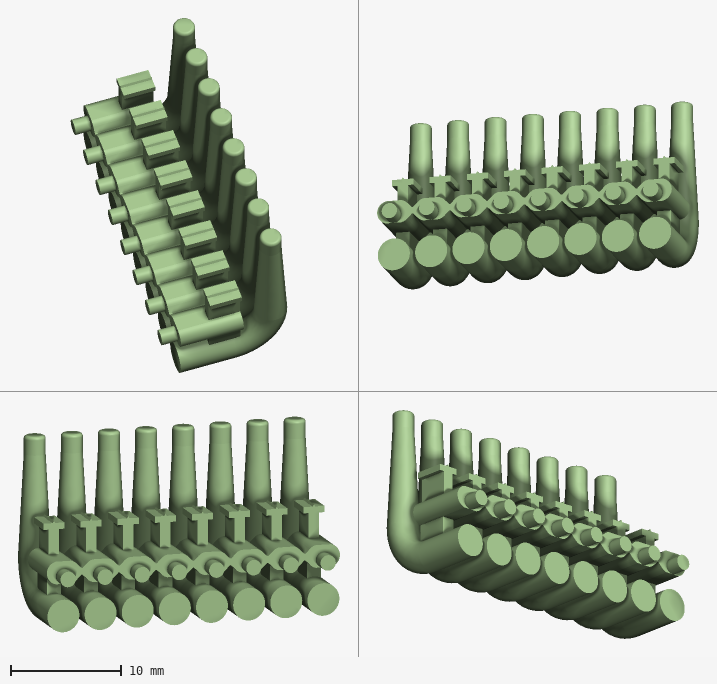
import cadquery as cq
import math


ROW_LENGTH = 27.62
CONTACT_COUNT = 8
LOBE_WIDTH = 3.12
PITCH = (ROW_LENGTH - LOBE_WIDTH) / (CONTACT_COUNT - 1)
CONTACT_POSITIONS = [(i - (CONTACT_COUNT - 1) / 2) * PITCH for i in range(CONTACT_COUNT)]

PIN_RADIUS = 3.0 / 2
PIN_LENGTH = 5.33
BEND_RADIUS = 3.73
POST_TOP = 16.35
TIP_RADIUS = 1.0
TIP_LENGTH = 1.7
TIP_ROUNDING = 0.3
POST_Y = PIN_LENGTH + BEND_RADIUS
POST_BASE = PIN_RADIUS + BEND_RADIUS

BAR_DEPTH = 6.0
BAR_HEIGHT = 2.1
BAR_CENTRE_Z = 5.52
LOBE_FLAT_WIDTH = 1.4
NECK_FLAT_WIDTH = 0.1
FLANK_ANGLE = math.radians(45)
BAR_TOP = BAR_CENTRE_Z + BAR_HEIGHT / 2
BAR_BOTTOM = BAR_CENTRE_Z - BAR_HEIGHT / 2
LOBE_SIDE = (LOBE_WIDTH - LOBE_FLAT_WIDTH) / 2
LOBE_RADIUS = (LOBE_SIDE**2 + (BAR_HEIGHT / 2) ** 2) / (2 * LOBE_SIDE)
LOBE_ARC_CENTRE = LOBE_WIDTH / 2 - LOBE_RADIUS

STUB_RADIUS = 0.72
STUB_LENGTH = 1.5
STUB_CENTRE_Z = BAR_BOTTOM + STUB_RADIUS

KEY_DEPTH = 3.0
KEY_TOP = 9.47
KEY_HEAD_WIDTH = 2.0
KEY_HEAD_HEIGHT = 0.58
KEY_STEM_WIDTH = 1.0
RIDGE_WIDTH = 0.25
RIDGE_HEIGHT = 0.2
WEB_WIDTH = 1.3


def section(front_y=0.0):
    """XZ sketch plane at the given Y; a positive extrusion runs towards -Y."""
    return cq.Workplane("XZ", origin=(0, front_y, 0))


def bent_pin():
    """Horizontal pin, quarter bend and tapered upright post with a rounded tip."""
    pin = section().center(0, PIN_RADIUS).circle(PIN_RADIUS).extrude(-PIN_LENGTH)
    bend = (
        section(PIN_LENGTH)
        .center(0, PIN_RADIUS)
        .circle(PIN_RADIUS)
        .revolve(90, (-0.28, BEND_RADIUS), (0.28, BEND_RADIUS))
    )
    rounding_offset = TIP_ROUNDING * math.sqrt(0.5)
    rounding_x = TIP_RADIUS - TIP_ROUNDING
    rounding_z = POST_TOP - TIP_ROUNDING
    post = (
        section(POST_Y)
        .moveTo(0, POST_BASE)
        .lineTo(PIN_RADIUS, POST_BASE)
        .lineTo(TIP_RADIUS, POST_TOP - TIP_LENGTH)
        .lineTo(TIP_RADIUS, rounding_z)
        .threePointArc(
            (rounding_x + rounding_offset, rounding_z + rounding_offset),
            (rounding_x, POST_TOP),
        )
        .lineTo(0, POST_TOP)
        .close()
        .revolve(360, (0, 0), (0, 1))
    )
    return pin.union(bend).union(post)


def bar_lobe():
    """One thick length of the bar: flat top and bottom with arched sides."""
    return (
        section()
        .moveTo(-LOBE_FLAT_WIDTH / 2, BAR_TOP)
        .lineTo(LOBE_FLAT_WIDTH / 2, BAR_TOP)
        .threePointArc((LOBE_WIDTH / 2, BAR_CENTRE_Z), (LOBE_FLAT_WIDTH / 2, BAR_BOTTOM))
        .lineTo(-LOBE_FLAT_WIDTH / 2, BAR_BOTTOM)
        .threePointArc((-LOBE_WIDTH / 2, BAR_CENTRE_Z), (-LOBE_FLAT_WIDTH / 2, BAR_TOP))
        .close()
        .extrude(-BAR_DEPTH)
    )


def bar_neck():
    """Thin link centred between two lobes, with flanks tangent to their side arcs."""
    flank_x = PITCH / 2 - LOBE_ARC_CENTRE - LOBE_RADIUS * math.cos(FLANK_ANGLE)
    flank_z = LOBE_RADIUS * math.sin(FLANK_ANGLE)
    waist_x = NECK_FLAT_WIDTH / 2
    waist_z = flank_z - (flank_x - waist_x) / math.tan(FLANK_ANGLE)
    upper = [(-flank_x, flank_z), (-waist_x, waist_z), (waist_x, waist_z), (flank_x, flank_z)]
    lower = [(x, -z) for x, z in reversed(upper)]
    return section().center(0, BAR_CENTRE_Z).polyline(upper + lower).close().extrude(-BAR_DEPTH)


def stub():
    """Round stub on the bar's front face, flush with the bottom of the bar."""
    return section().center(0, STUB_CENTRE_Z).circle(STUB_RADIUS).extrude(STUB_LENGTH)


def key():
    """T-shaped key with a small pointed ridge along the middle of its head."""
    head_bottom = KEY_TOP - KEY_HEAD_HEIGHT
    right_side = [
        (KEY_STEM_WIDTH / 2, BAR_CENTRE_Z),
        (KEY_STEM_WIDTH / 2, head_bottom),
        (KEY_HEAD_WIDTH / 2, head_bottom),
        (KEY_HEAD_WIDTH / 2, KEY_TOP),
        (RIDGE_WIDTH / 2, KEY_TOP),
    ]
    ridge_tip = (0, KEY_TOP + RIDGE_HEIGHT)
    left_side = [(-x, z) for x, z in reversed(right_side)]
    return section(BAR_DEPTH).polyline(right_side + [ridge_tip] + left_side).close().extrude(KEY_DEPTH)


def web():
    """Block that ties the bar down to the pin below it."""
    web_height = BAR_CENTRE_Z - PIN_RADIUS
    return (
        section(BAR_DEPTH)
        .center(0, PIN_RADIUS + web_height / 2)
        .rect(WEB_WIDTH, web_height)
        .extrude(KEY_DEPTH)
    )


contact = bar_lobe().union(bent_pin()).union(web()).union(key()).union(stub())
neck = bar_neck()

result = contact.translate((CONTACT_POSITIONS[0], 0, 0))
for contact_x in CONTACT_POSITIONS[1:]:
    result = result.union(neck.translate((contact_x - PITCH / 2, 0, 0)))
    result = result.union(contact.translate((contact_x, 0, 0)))